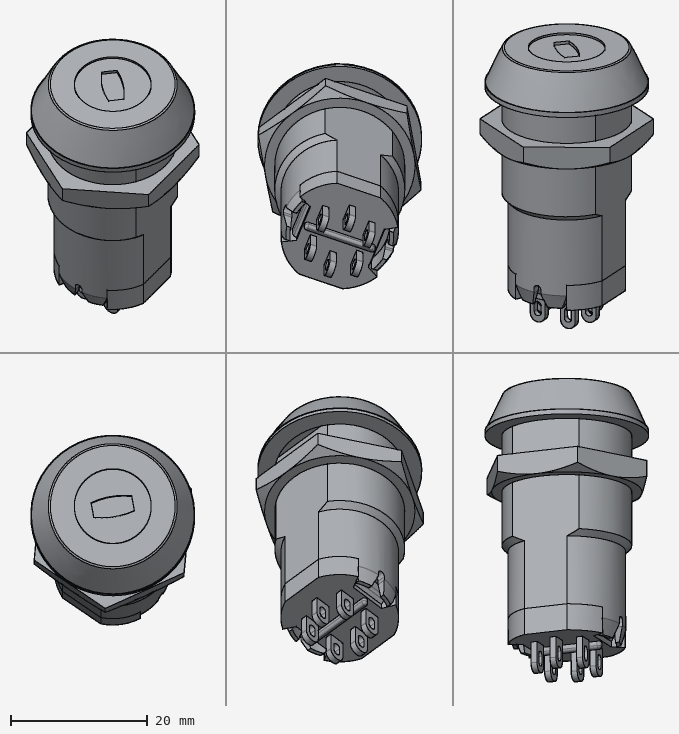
import cadquery as cq
import math


top_z = 6.2
gasket_radius = 24.0 / 2
gasket_thickness = 0.75
cap_base_radius = 11.9
cap_top_radius = 9.45
cap_bulge = 0.065
cap_edge_radius = 9.15
cap_edge_height = 0.13

barrel_radius = 9.5
lower_radius = 8.63
flat_distance = 15.85 / 2
taper_top_z = -16.7
taper_bottom_z = -17.6
barrel_bottom_z = -31.88

plug_radius = 11.25 / 2
plug_depth = 3.4
plug_recess = 0.3
keyway_length = 6.05
keyway_end_width = 2.25
keyway_mid_width = 3.1
keyway_depth = 0.45
keyway_angle = -45.0

nut_top_z = -5.1
nut_thickness = 3.45
nut_across_flats = 22.0
nut_turn = 30.0
nut_chamfer_height = 1.0

arm_top_z = -27.92
arm_front_angle = 60.0
arm_back_angle = 63.0
block_width = 7.22
block_top_y = 6.2
block_middle_y = 6.05
block_bottom_y = 5.7
block_slope_top_z = -29.5
block_slope_middle_z = -30.25
block_slope_bottom_z = -31.02

skirt_top_z = -29.6
skirt_bottom_radius = 7.9
gap_top_x = 4.3
gap_mid_x = 3.85
gap_bottom_x = 3.3
notch_radius = 0.6
notch_arch_z = -29.03
notch_flare_z = -29.75
notch_bottom_half_width = 1.25
skirt_inner_radius = 7.3

overall_height = 42.5
tip_z = top_z - overall_height
terminal_width = 2.5
terminal_thickness = 0.98
terminal_row_pitch = 3.6
terminal_inner_x = 2.55
terminal_outer_x = 4.0
eye_width = 1.15
eye_height = 2.2
eye_z = -34.15

rib_length = 11.05
rib_width = 0.98
rib_bottom_z = -33.0
rib_edge_fillet = 0.45


def cylinder(radius, bottom_z, top):
    return cq.Workplane("XY").workplane(offset=bottom_z).circle(radius).extrude(top - bottom_z)


def flat_sides(bottom_z, top):
    """Slab between the two flat sides of the barrel."""
    return (
        cq.Workplane("XY").workplane(offset=bottom_z)
        .rect(2 * flat_distance, 2 * barrel_radius).extrude(top - bottom_z)
    )


def make_arms():
    """Two opposite sectors of the barrel's lower end, centred on the X axis."""
    reach = 2 * barrel_radius
    front_y = -reach * math.tan(math.radians(arm_front_angle))
    back_y = reach * math.tan(math.radians(arm_back_angle))
    height = arm_top_z - barrel_bottom_z
    sectors = (
        cq.Workplane("XY").workplane(offset=barrel_bottom_z)
        .polyline([(0, 0), (reach, front_y), (reach, back_y)]).close()
        .polyline([(0, 0), (-reach, back_y), (-reach, front_y)]).close()
        .extrude(height)
    )
    lower_end = cylinder(lower_radius, barrel_bottom_z, arm_top_z)
    return lower_end.intersect(flat_sides(barrel_bottom_z, arm_top_z)).intersect(sectors)


def make_cap():
    flank_mid_r = (cap_base_radius + cap_top_radius) / 2 + cap_bulge
    flank_mid_z = (gasket_thickness + top_z - cap_edge_height) / 2 + cap_bulge
    return (
        cq.Workplane("XZ")
        .moveTo(0, gasket_thickness)
        .lineTo(cap_base_radius, gasket_thickness)
        .threePointArc((flank_mid_r, flank_mid_z), (cap_top_radius, top_z - cap_edge_height))
        .lineTo(cap_edge_radius, top_z)
        .lineTo(0, top_z)
        .close()
        .revolve(360, (0, 0), (0, 1))
    )


def make_barrel():
    barrel = (
        cq.Workplane("XZ")
        .polyline([
            (0, gasket_thickness),
            (barrel_radius, gasket_thickness),
            (barrel_radius, taper_top_z),
            (lower_radius, taper_bottom_z),
            (lower_radius, skirt_top_z),
            (skirt_bottom_radius, barrel_bottom_z),
            (0, barrel_bottom_z),
        ])
        .close()
        .revolve(360, (0, 0), (0, 1))
    )
    return barrel.intersect(flat_sides(barrel_bottom_z, gasket_thickness))


def skirt_gaps():
    """Openings with a curved edge between each skirt end and the arm beside it, on the -Y side."""
    gap = (
        cq.Workplane("XZ", origin=(0, -block_bottom_y, 0))
        .moveTo(gap_top_x, skirt_top_z)
        .threePointArc((gap_mid_x, (skirt_top_z + barrel_bottom_z) / 2), (gap_bottom_x, barrel_bottom_z))
        .lineTo(barrel_radius, barrel_bottom_z)
        .lineTo(barrel_radius, skirt_top_z)
        .close()
        .extrude(barrel_radius - block_bottom_y)
    )
    return gap.union(gap.mirror("YZ"))


def skirt_notch():
    """Arched notch through the middle of the -Y skirt, flared at the bottom."""
    return (
        cq.Workplane("XZ", origin=(0, -block_bottom_y, 0))
        .moveTo(-notch_bottom_half_width, barrel_bottom_z)
        .lineTo(-notch_radius, notch_flare_z)
        .lineTo(-notch_radius, notch_arch_z)
        .threePointArc((0, notch_arch_z + notch_radius), (notch_radius, notch_arch_z))
        .lineTo(notch_radius, notch_flare_z)
        .lineTo(notch_bottom_half_width, barrel_bottom_z)
        .close()
        .extrude(barrel_radius - block_bottom_y)
    )


def make_housing():
    plug_pocket = cylinder(plug_radius, top_z - plug_recess - plug_depth, top_z)
    base_cavity = cylinder(skirt_inner_radius, barrel_bottom_z, arm_top_z)
    housing = make_cap().union(make_barrel())
    housing = housing.cut(plug_pocket).cut(base_cavity).cut(make_arms())
    for cutter in (skirt_gaps(), skirt_notch()):
        housing = housing.cut(cutter).cut(cutter.mirror("XZ"))
    return housing


def make_gasket():
    return cylinder(gasket_radius, 0, gasket_thickness).cut(cylinder(barrel_radius, 0, gasket_thickness))


def make_plug():
    face_z = top_z - plug_recess
    half_length = keyway_length / 2
    half_end = keyway_end_width / 2
    half_mid = keyway_mid_width / 2
    keyway = (
        cq.Workplane("XY").workplane(offset=face_z - keyway_depth)
        .moveTo(-half_length, -half_end)
        .threePointArc((0, -half_mid), (half_length, -half_end))
        .lineTo(half_length, half_end)
        .threePointArc((0, half_mid), (-half_length, half_end))
        .close()
        .extrude(keyway_depth)
        .rotate((0, 0, 0), (0, 0, 1), keyway_angle)
    )
    return cylinder(plug_radius, face_z - plug_depth, face_z).cut(keyway)


def make_nut():
    corner_radius = nut_across_flats / math.sqrt(3)
    bottom_z = nut_top_z - nut_thickness
    hexagon = (
        cq.Workplane("XY").workplane(offset=bottom_z)
        .polygon(6, 2 * corner_radius).extrude(nut_thickness)
        .rotate((0, 0, 0), (0, 0, 1), nut_turn)
    )
    chamfer_limit = (
        cq.Workplane("XZ")
        .polyline([
            (0, bottom_z),
            (nut_across_flats / 2, bottom_z),
            (corner_radius, bottom_z + nut_chamfer_height),
            (corner_radius, nut_top_z),
            (0, nut_top_z),
        ])
        .close()
        .revolve(360, (0, 0), (0, 1))
    )
    return hexagon.intersect(chamfer_limit).cut(cylinder(barrel_radius, bottom_z, nut_top_z))


def make_terminal(x, y):
    """Flat solder tab with a round end and an elongated eye, hanging below the base."""
    half_width = terminal_width / 2
    shoulder_z = tip_z + half_width
    tab = (
        cq.Workplane("XZ", origin=(x, y, 0))
        .moveTo(-half_width, barrel_bottom_z)
        .lineTo(-half_width, shoulder_z)
        .threePointArc((0, tip_z), (half_width, shoulder_z))
        .lineTo(half_width, barrel_bottom_z)
        .close()
        .extrude(terminal_thickness / 2, both=True)
    )
    eye = (
        cq.Workplane("XZ", origin=(x, y, eye_z))
        .slot2D(eye_height, eye_width, 90)
        .extrude(terminal_thickness, both=True)
    )
    return tab.cut(eye)


def make_block():
    """Block between the arms whose -Y and +Y faces step inward towards the bottom."""
    half_profile = [
        (block_top_y, arm_top_z),
        (block_top_y, block_slope_top_z),
        (block_middle_y, block_slope_middle_z),
        (block_bottom_y, block_slope_bottom_z),
        (block_bottom_y, barrel_bottom_z),
    ]
    mirrored = [(-y, z) for y, z in reversed(half_profile)]
    return (
        cq.Workplane("YZ").polyline(half_profile + mirrored).close()
        .extrude(block_width / 2, both=True)
    )


def make_base():
    base = make_arms().union(make_block())
    for row in (-1, 0, 1):
        x = terminal_outer_x if row == 0 else terminal_inner_x
        for side in (-1, 1):
            base = base.union(make_terminal(side * x, row * terminal_row_pitch))
    return base


def make_rib():
    return (
        cq.Workplane("XY").workplane(offset=rib_bottom_z)
        .slot2D(rib_length, rib_width, 90)
        .extrude(barrel_bottom_z - rib_bottom_z)
        .faces("<Z").edges().fillet(rib_edge_fillet)
    )


housing = make_housing()
gasket = make_gasket()
plug = make_plug()
nut = make_nut()
base = make_base()
rib = make_rib()

result = cq.Compound.makeCompound([
    housing.solids().val(),
    gasket.solids().val(),
    plug.solids().val(),
    nut.solids().val(),
    base.solids().val(),
    rib.solids().val(),
])